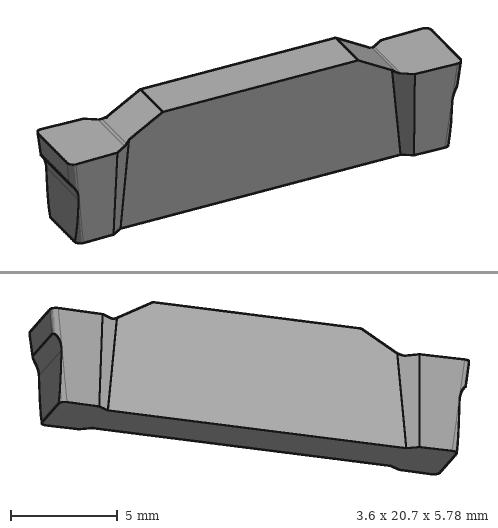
import cadquery as cq
import math

length = 20.7
height = 5.78
half_length = length / 2

body_width = 2.32
head_height = 4.6
ramp_angle = 30.0
ramp_start = 3.17
ramp_blend_radius = 0.31

head_half_width_base = 1.53
head_half_width_top = 1.8
head_width = 2 * head_half_width_top
shoulder_half_width_base = 1.5
shoulder_half_width_top = 1.74
shoulder_base = 2.45
shoulder_top = 2.53
neck_base = 2.98
neck_top = 3.42
corner_radius = 0.31
head_overlap = 2.07

undercut_depth = 0.52
undercut_foot = 0.08
lip_bottom = 3.4
undercut_arc_bottom = 2.53
front_setback_base = undercut_depth / (1 - undercut_foot / head_height)


def taper(base, top, z):
    """Value at level z on a straight taper from the base to head height."""
    return base + (top - base) * z / head_height


def head_section(z):
    """Closed plan outline of the -Y head at level z."""
    front = -half_length + taper(front_setback_base, 0, z)
    half_width = taper(head_half_width_base, head_half_width_top, z)
    shoulder_half_width = taper(shoulder_half_width_base, shoulder_half_width_top, z)
    shoulder = -half_length + taper(shoulder_base, shoulder_top, z)
    neck = -half_length + taper(neck_base, neck_top, z)
    half_body = body_width / 2
    inner_end = -half_length + neck_top + head_overlap
    corner_x = half_width - corner_radius
    corner_y = front + corner_radius
    diagonal = corner_radius * math.sqrt(0.5)
    return (
        cq.Workplane("XY", origin=(0, 0, z))
        .moveTo(-corner_x, front)
        .lineTo(corner_x, front)
        .threePointArc((corner_x + diagonal, corner_y - diagonal), (half_width, corner_y))
        .lineTo(shoulder_half_width, shoulder)
        .lineTo(half_body, neck)
        .lineTo(half_body, inner_end)
        .lineTo(-half_body, inner_end)
        .lineTo(-half_body, neck)
        .lineTo(-shoulder_half_width, shoulder)
        .lineTo(-half_width, corner_y)
        .threePointArc((-corner_x - diagonal, corner_y - diagonal), (-corner_x, front))
        .close()
        .val()
    )


def head():
    """Tapered -Y head, continued up to full height before the side profile trims it."""
    sections = [head_section(0), head_section(height)]
    return cq.Workplane(cq.Solid.makeLoft(sections, True))


def side_profile():
    """Side silhouette of the -Y half, with its undercut and ramp, extruded across X."""
    undercut_face = -half_length + undercut_depth
    lip_edge = -half_length + taper(front_setback_base, 0, lip_bottom)
    ramp_foot = -half_length + ramp_start
    ramp_top = ramp_foot + (height - head_height) / math.tan(math.radians(ramp_angle))

    arc_rise = lip_bottom - undercut_arc_bottom
    arc_run = undercut_face - lip_edge
    arc_radius = (arc_rise**2 + arc_run**2) / (2 * arc_run)
    half_sweep = math.asin(arc_rise / arc_radius) / 2
    arc_middle = (
        undercut_face - arc_radius * (1 - math.cos(half_sweep)),
        undercut_arc_bottom + arc_radius * math.sin(half_sweep),
    )

    profile = (
        cq.Workplane("YZ")
        .moveTo(0, 0)
        .lineTo(undercut_face, 0)
        .lineTo(undercut_face, undercut_arc_bottom)
        .threePointArc(arc_middle, (lip_edge, lip_bottom))
        .lineTo(-half_length, lip_bottom)
        .lineTo(-half_length, head_height)
        .lineTo(ramp_foot, head_height)
        .lineTo(ramp_top, height)
        .lineTo(0, height)
        .close()
        .extrude(head_width, both=True)
    )
    foot_edge = cq.selectors.NearestToPointSelector((0, ramp_foot, head_height))
    return profile.edges("|X").edges(foot_edge).fillet(ramp_blend_radius)


body = cq.Workplane("XY").box(body_width, length / 2, height, centered=(True, False, False))
body = body.translate((0, -half_length + neck_top, 0))
half_part = body.union(head()).intersect(side_profile())
result = half_part.union(half_part.mirror("XZ")).clean()